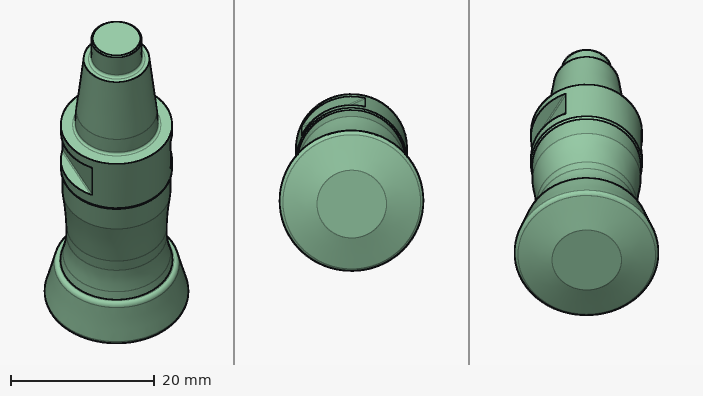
import cadquery as cq

pin_radius = 7.0 / 2
pin_chamfer = 0.2
pin_flare = 0.4
nose_tip_radius = 4.6
nose_root_radius = 5.75
nose_flare = 0.35
taper_end_radius = 5.6
nose_bulge_radius = 5.7
top_z = 52.0
nose_top_z = 48.0
taper_end_z = 37.75

collar_radius = 15.5 / 2
collar_top_z = 35.0
collar_bottom_z = 25.85
collar_chamfer_height = 0.4
flat_distance = 6.05
flat_bottom_z = 28.05
flat_top_z = 33.45
flat_corner_fillet = 0.15

shoulder_radius = 15.1 / 2
neck_radius = 14.0 / 2
waist_upper_radius = 7.2
waist_upper_z = 18.45
shoulder_bottom_z = 21.95
neck_top_z = 15.05
neck_bottom_z = 13.2
skirt_mid_radius = 7.1
skirt_mid_z = 11.35
skirt_arc_radius = 7.5
skirt_arc_z = 9.45
skirt_end_radius = 7.8

knob_top_z = 8.15
knob_top_radius = 8.6
knob_max_radius = 10.15
knob_rim_z = 1.55
knob_base_radius = 4.85
knob_top_fillet = 0.8
knob_rim_fillet = 0.6


def make_spindle():
    """Pin, tapered nose, collar and waisted grip, turned as one solid."""
    profile = (
        cq.Workplane("XZ")
        .moveTo(0, knob_top_z)
        .lineTo(skirt_end_radius, knob_top_z)
        .lineTo(skirt_arc_radius, skirt_arc_z)
        .threePointArc((skirt_mid_radius, skirt_mid_z), (neck_radius, neck_bottom_z))
        .lineTo(neck_radius, neck_top_z)
        .threePointArc((waist_upper_radius, waist_upper_z), (shoulder_radius, shoulder_bottom_z))
        .lineTo(shoulder_radius, collar_bottom_z)
        .lineTo(collar_radius, collar_bottom_z + collar_chamfer_height)
        .lineTo(collar_radius, collar_top_z)
        .lineTo(nose_root_radius + nose_flare, collar_top_z)
        .radiusArc((nose_root_radius, collar_top_z + nose_flare), nose_flare)
        .threePointArc(
            (nose_bulge_radius, (collar_top_z + nose_flare + taper_end_z) / 2),
            (taper_end_radius, taper_end_z),
        )
        .lineTo(nose_tip_radius, nose_top_z)
        .lineTo(pin_radius + pin_flare, nose_top_z)
        .radiusArc((pin_radius, nose_top_z + pin_flare), pin_flare)
        .lineTo(pin_radius, top_z - pin_chamfer)
        .lineTo(pin_radius - pin_chamfer, top_z)
        .lineTo(0, top_z)
        .close()
    )
    return cut_wrench_flats(profile.revolve(360, (0, 0), (0, 1)))


def cut_wrench_flats(body):
    """Cut the two opposite wrench flats into the collar."""
    flat_height = flat_top_z - flat_bottom_z
    flat_middle_z = (flat_top_z + flat_bottom_z) / 2
    cutter_depth = collar_radius
    for side in (-1, 1):
        inner_face = ">Y" if side < 0 else "<Y"
        cutter = cq.Workplane("XY").box(2 * collar_radius, cutter_depth, flat_height)
        cutter = cutter.faces(inner_face).edges("|X").fillet(flat_corner_fillet)
        body = body.cut(cutter.translate((0, side * (flat_distance + cutter_depth / 2), flat_middle_z)))
    return body


def make_knob():
    """Flared cone with rounded edges and a shallow conical underside."""
    knob = (
        cq.Workplane("XZ")
        .lineTo(knob_base_radius, 0)
        .lineTo(knob_max_radius, knob_rim_z)
        .lineTo(knob_top_radius, knob_top_z)
        .lineTo(0, knob_top_z)
        .close()
        .revolve(360, (0, 0), (0, 1))
    )
    rim_selector = cq.selectors.RadiusNthSelector(-1)
    return knob.edges(">Z").fillet(knob_top_fillet).edges(rim_selector).fillet(knob_rim_fillet)


spindle = make_spindle()
knob = make_knob()
result = cq.Compound.makeCompound([spindle.val(), knob.val()])